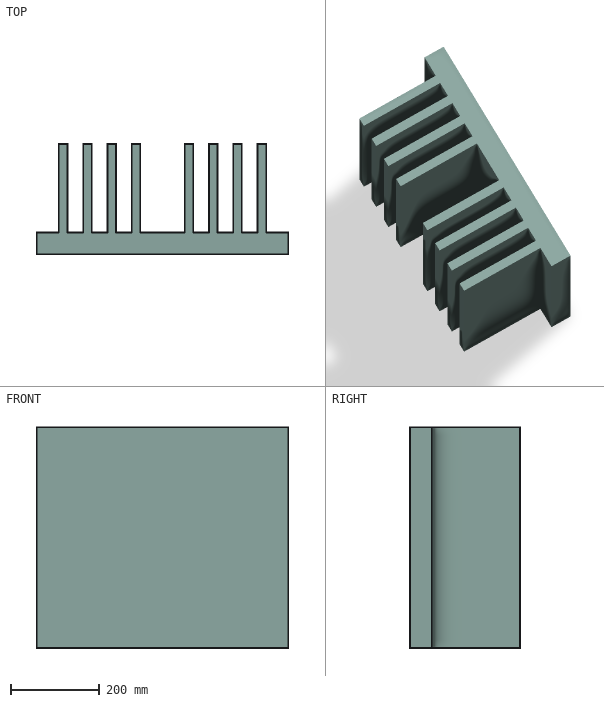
import cadquery as cq

plate_width = 570.0
plate_thickness = 50.0
height = 500.0

fin_length = 200.0
fin_thickness = 20.0
fin_pitch = 55.0
fins_per_group = 4
edge_margin = 50.0

def make_plate():
    """Flat plate centred on X with its front face at Y = 0."""
    return cq.Workplane("XY").box(plate_width, plate_thickness, height, centered=(True, False, False))

def make_fin(center_x):
    """Full-height fin rising from the back face of the plate."""
    fin = cq.Workplane("XY").box(fin_thickness, fin_length, height, centered=(True, False, False))
    return fin.translate((center_x, plate_thickness, 0))

outer_fin_x = plate_width / 2 - edge_margin - fin_thickness / 2

result = make_plate()
for index in range(fins_per_group):
    fin_x = outer_fin_x - index * fin_pitch
    for side in (-1, 1):
        result = result.union(make_fin(side * fin_x))